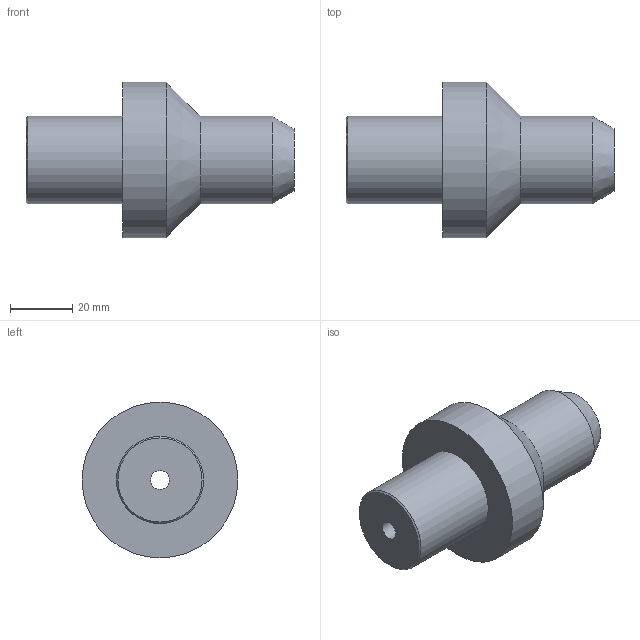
import cadquery as cq
import math

total_length = 86.0
rear_shank_length = 31.0
flange_length = 14.0

shank_diameter = 28.0
flange_diameter = 50.0
nose_diameter = 20.0
bore_diameter = 6.0

rear_chamfer = 0.5
flange_taper_angle = 45.0
nose_taper_angle = 30.0

shank_radius = shank_diameter / 2
flange_radius = flange_diameter / 2
nose_radius = nose_diameter / 2

flange_taper_length = (flange_radius - shank_radius) / math.tan(math.radians(flange_taper_angle))
nose_taper_length = (shank_radius - nose_radius) / math.tan(math.radians(nose_taper_angle))
flange_start = rear_shank_length
flange_end = flange_start + flange_length
flange_taper_end = flange_end + flange_taper_length
nose_taper_start = total_length - nose_taper_length


def make_body():
    """Turned body: half profile in the XY plane revolved about the X axis."""
    profile = [
        (0, 0),
        (0, -(shank_radius - rear_chamfer)),
        (rear_chamfer, -shank_radius),
        (flange_start, -shank_radius),
        (flange_start, -flange_radius),
        (flange_end, -flange_radius),
        (flange_taper_end, -shank_radius),
        (nose_taper_start, -shank_radius),
        (total_length, -nose_radius),
        (total_length, 0),
    ]
    return cq.Workplane("XY").polyline(profile).close().revolve(360, (0, 0, 0), (1, 0, 0))


def make_bore():
    """Cylinder along X that cuts the bore through the full length."""
    return cq.Workplane("YZ").circle(bore_diameter / 2).extrude(total_length)


result = make_body().cut(make_bore())